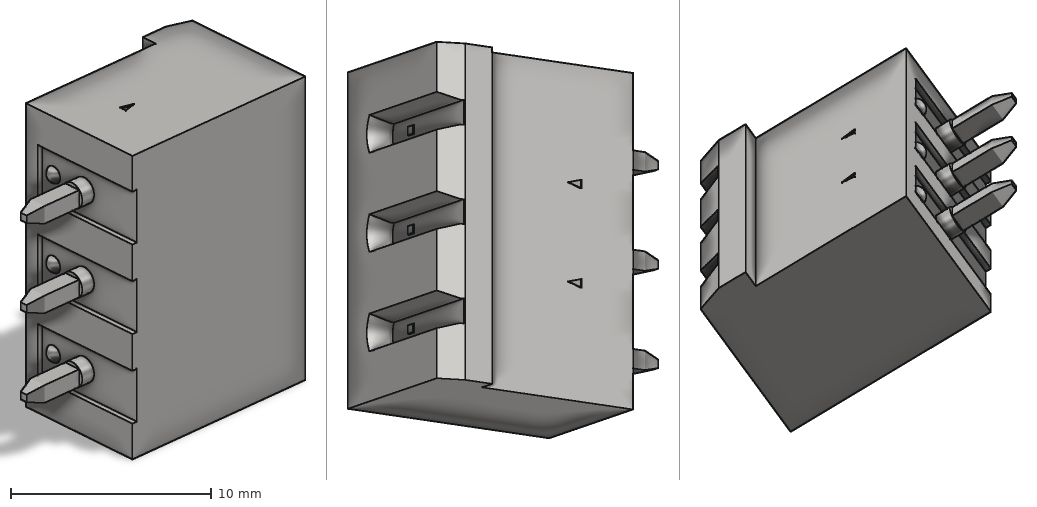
import math

import cadquery as cq

width = 8.6
height = 17.24
total_length = 15.9

body_length = 12.0
lip_overhang = 0.93
lip_length = 3.0
lip_chamfer_width = 0.47
lip_chamfer_length = 1.4

pole_pitch = 5.09
pole_heights = [-pole_pitch, 0, pole_pitch]
pin_x = 4.81
pin_size = 1.0
pin_tip_size = 0.43
pin_taper_length = 0.98
collar_diameter = 1.43
collar_length = 0.52

recess_depth = 0.31
recess_height = 3.0
recess_start_x = 1.8
bump_x = 2.6
bump_diameter = 0.97
bump_rise = recess_depth

slot_mouth_width = 1.93
slot_floor_width = 1.28
slot_floor_end_radius = 1.72
slot_taper_depth = 1.14
slot_depth = 1.33
pin_stand_out = 0.07

arrow_tip_y = -8.14
arrow_length = 0.8
arrow_width = 0.45
arrow_depth = 0.09
top_arrow_x = 4.72
side_arrow_heights = [-pole_pitch / 2, pole_pitch / 2]

board_face_y = -body_length
recess_floor_y = board_face_y + recess_depth
slot_taper_inset = (slot_mouth_width - slot_floor_width) / 2
slot_mouth_end_radius = slot_floor_end_radius + slot_taper_inset


def housing():
    """Extruded block with a chamfered lip along its mating edge."""
    outline = [
        (lip_chamfer_width, 0),
        (width, 0),
        (width, board_face_y),
        (lip_overhang, board_face_y),
        (lip_overhang, -lip_length),
        (0, -lip_length),
        (0, -lip_chamfer_length),
    ]
    return cq.Workplane("XY").polyline(outline).close().extrude(height / 2, both=True)


def recess():
    """Shallow pocket in the board face, open on the +X side."""
    pocket = cq.Workplane("XY").box(
        width - recess_start_x, recess_depth, recess_height, centered=(False, False, True)
    )
    return pocket.translate((recess_start_x, board_face_y, 0))


def draw_slot(plane, slot_width, end_radius):
    """Slot outline, open at the lip edge and ended by an arc about the pin axis."""
    half_width = slot_width / 2
    corner_x = pin_x + math.sqrt(end_radius**2 - half_width**2)
    return (
        plane.moveTo(0, -half_width)
        .lineTo(corner_x, -half_width)
        .threePointArc((pin_x + end_radius, 0), (corner_x, half_width))
        .lineTo(0, half_width)
        .close()
    )


def entry_slot():
    """Slot that narrows from the mating face, then runs straight down to its floor."""
    mouth = draw_slot(cq.Workplane("XZ"), slot_mouth_width, slot_mouth_end_radius)
    taper_end = mouth.workplane(offset=slot_taper_depth)
    taper = draw_slot(taper_end, slot_floor_width, slot_floor_end_radius).loft(ruled=True)
    full_depth = draw_slot(cq.Workplane("XZ"), slot_floor_width, slot_floor_end_radius).extrude(slot_depth)
    return taper.union(full_depth)


def pin():
    """Square pin with both ends tapered and a round collar rising from the recess floor."""
    length = total_length - slot_depth + pin_stand_out
    mating_end = cq.Workplane("XZ", origin=(pin_x, pin_stand_out - slot_depth, 0))
    mating_taper = (
        mating_end.rect(pin_tip_size, pin_tip_size)
        .workplane(offset=pin_taper_length)
        .rect(pin_size, pin_size)
        .loft(ruled=True)
    )
    shank = (
        mating_end.workplane(offset=pin_taper_length)
        .rect(pin_size, pin_size)
        .extrude(length - 2 * pin_taper_length)
    )
    board_taper = (
        mating_end.workplane(offset=length - pin_taper_length)
        .rect(pin_size, pin_size)
        .workplane(offset=pin_taper_length)
        .rect(pin_tip_size, pin_tip_size)
        .loft(ruled=True)
    )
    collar = (
        cq.Workplane("XZ", origin=(pin_x, recess_floor_y, 0))
        .circle(collar_diameter / 2)
        .extrude(recess_depth + collar_length)
    )
    return mating_taper.union(shank).union(board_taper).union(collar)


def bump():
    """Spherical cap that rises from the recess floor to the level of the board face."""
    sphere_radius = ((bump_diameter / 2) ** 2 + bump_rise**2) / (2 * bump_rise)
    center_y = recess_floor_y - bump_rise + sphere_radius
    return cq.Workplane("XY").sphere(sphere_radius).translate((bump_x, center_y, 0))


def arrow(plane):
    """Triangle pointing toward the mating face, sunk below a plane whose local x axis is along Y."""
    base_y = arrow_tip_y - arrow_length
    corners = [(arrow_tip_y, 0), (base_y, arrow_width / 2), (base_y, -arrow_width / 2)]
    return cq.Workplane(plane).polyline(corners).close().extrude(-arrow_depth)


part = housing()
for z in pole_heights:
    part = part.cut(recess().translate((0, 0, z)))
    part = part.cut(entry_slot().translate((0, 0, z)))
    part = part.union(pin().translate((0, 0, z)))
    part = part.union(bump().translate((0, 0, z)))

top_plane = cq.Plane(origin=(top_arrow_x, 0, height / 2), xDir=(0, 1, 0), normal=(0, 0, 1))
part = part.cut(arrow(top_plane))
for z in side_arrow_heights:
    side_plane = cq.Plane(origin=(lip_overhang, 0, z), xDir=(0, 1, 0), normal=(-1, 0, 0))
    part = part.cut(arrow(side_plane))

result = part